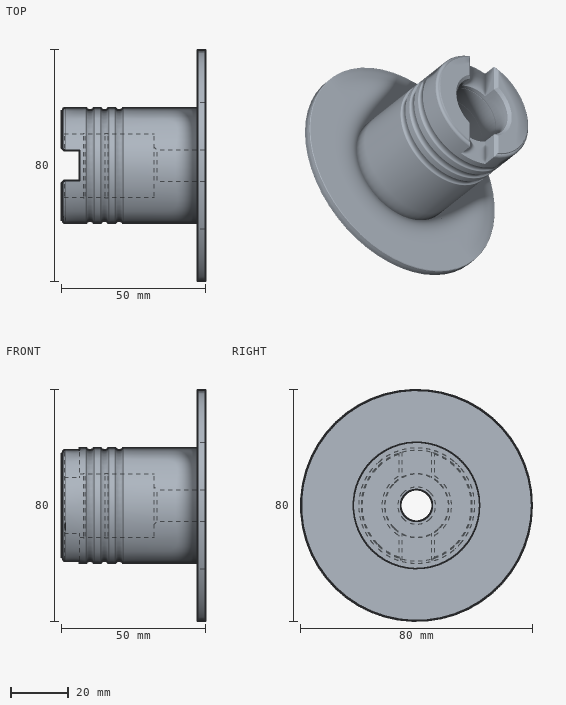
import cadquery as cq
import math

LENGTH = 50.0
FLANGE_RADIUS = 40.0
FLANGE_THICKNESS = 3.0
FLANGE_EDGE_CHAMFER = 0.2
FRONT_X = -LENGTH / 2
BACK_X = LENGTH / 2

BARREL_RADIUS = 20.0
FOOT_RADIUS = 21.8
NOSE_ROUND = 1.0
NOSE_TAPER_LENGTH = 0.5
NOSE_TAPER_RISE = 0.2

GROOVE_COUNT = 3
GROOVE_PITCH = 5.0
FIRST_GROOVE = 9.9
GROOVE_ARC_RADIUS = 1.5
GROOVE_DEPTH = 0.8
GROOVE_EDGE_ROUND = 0.2

BORE_RADIUS = 11.0
BORE_DEPTH = 32.0
EDGE_CHAMFER = 1.0
HOLE_RADIUS = 5.4

RELIEF_DEPTH = 0.2
FRONT_RELIEF_PLACE = 7.5
FRONT_RELIEF_WIDTH = 0.6
REAR_RELIEF_PLACE = 15.0
REAR_RELIEF_WIDTH = 1.0

SLOT_WIDTH = 10.3
SLOT_DEPTH = 6.2


def cylinder(radius, start, length):
    return cq.Workplane("YZ", origin=(start, 0, 0)).circle(radius).extrude(length)


def countersink(radius, start):
    """Cone that opens a hole of the given radius toward -X at the given place."""
    mouth_center = cq.Vector(start, 0, 0)
    cone = cq.Solid.makeCone(radius + EDGE_CHAMFER, radius, EDGE_CHAMFER, mouth_center, cq.Vector(1, 0, 0))
    return cq.Workplane(cone)


def sleeve_blank():
    shoulder_radius = BARREL_RADIUS - NOSE_ROUND
    shoulder_x = FRONT_X + NOSE_TAPER_LENGTH
    round_end_x = shoulder_x + NOSE_ROUND
    diagonal = NOSE_ROUND * math.sqrt(0.5)
    foot_x = BACK_X - FLANGE_THICKNESS
    outline = (
        cq.Workplane("XY")
        .moveTo(FRONT_X, 0)
        .lineTo(FRONT_X, shoulder_radius - NOSE_TAPER_RISE)
        .lineTo(shoulder_x, shoulder_radius)
        .threePointArc((round_end_x - diagonal, shoulder_radius + diagonal), (round_end_x, BARREL_RADIUS))
        .lineTo(foot_x, BARREL_RADIUS)
        .lineTo(foot_x, FOOT_RADIUS)
        .lineTo(BACK_X, FOOT_RADIUS)
        .lineTo(BACK_X, 0)
        .close()
    )
    return outline.revolve(360, (0, 0, 0), (1, 0, 0))


def grip_groove(center_x):
    """Ring with a round bottom whose mouth flares out to the barrel over small convex rounds."""
    arc_height = BARREL_RADIUS - GROOVE_DEPTH + GROOVE_ARC_RADIUS
    round_height = BARREL_RADIUS - GROOVE_EDGE_ROUND
    center_distance = GROOVE_ARC_RADIUS + GROOVE_EDGE_ROUND
    half_mouth = math.sqrt(center_distance**2 - (arc_height - round_height) ** 2)

    share = GROOVE_ARC_RADIUS / center_distance
    meet_offset = half_mouth * share
    meet_height = arc_height - (arc_height - round_height) * share

    lean = math.atan2(arc_height - round_height, half_mouth)
    middle_angle = (lean + math.pi / 2) / 2
    middle_offset = half_mouth - GROOVE_EDGE_ROUND * math.cos(middle_angle)
    middle_height = round_height + GROOVE_EDGE_ROUND * math.sin(middle_angle)

    return (
        cq.Workplane("XY")
        .moveTo(center_x - half_mouth, BARREL_RADIUS)
        .threePointArc((center_x - middle_offset, middle_height), (center_x - meet_offset, meet_height))
        .threePointArc((center_x, BARREL_RADIUS - GROOVE_DEPTH), (center_x + meet_offset, meet_height))
        .threePointArc((center_x + middle_offset, middle_height), (center_x + half_mouth, BARREL_RADIUS))
        .close()
        .revolve(360, (0, 0, 0), (1, 0, 0))
    )


def relief_groove(place, width):
    return cylinder(BORE_RADIUS + RELIEF_DEPTH, FRONT_X + place, width)


def bore():
    floor_x = FRONT_X + BORE_DEPTH
    cut = cylinder(BORE_RADIUS, FRONT_X, BORE_DEPTH)
    cut = cut.union(countersink(BORE_RADIUS, FRONT_X))
    cut = cut.union(cylinder(HOLE_RADIUS, floor_x, BACK_X - floor_x))
    cut = cut.union(countersink(HOLE_RADIUS, floor_x))
    cut = cut.union(relief_groove(FRONT_RELIEF_PLACE, FRONT_RELIEF_WIDTH))
    return cut.union(relief_groove(REAR_RELIEF_PLACE, REAR_RELIEF_WIDTH))


def nose_slot():
    half = SLOT_WIDTH / 2
    slot_floor = FRONT_X + SLOT_DEPTH
    return (
        cq.Workplane("XY")
        .moveTo(FRONT_X, -half - EDGE_CHAMFER)
        .lineTo(FRONT_X + EDGE_CHAMFER, -half)
        .lineTo(slot_floor, -half)
        .lineTo(slot_floor, half)
        .lineTo(FRONT_X + EDGE_CHAMFER, half)
        .lineTo(FRONT_X, half + EDGE_CHAMFER)
        .close()
        .extrude(BARREL_RADIUS, both=True)
    )


def make_sleeve():
    """Barrel with a wide foot at the back that fills the opening of the flange."""
    sleeve = sleeve_blank().cut(bore()).cut(nose_slot())
    for i in range(GROOVE_COUNT):
        sleeve = sleeve.cut(grip_groove(FRONT_X + FIRST_GROOVE + i * GROOVE_PITCH))
    return sleeve


def make_flange():
    """Thin ring around the foot of the sleeve."""
    flange_x = BACK_X - FLANGE_THICKNESS
    disc = cylinder(FLANGE_RADIUS, flange_x, FLANGE_THICKNESS)
    disc = disc.faces("<X or >X").edges().chamfer(FLANGE_EDGE_CHAMFER)
    return disc.cut(cylinder(FOOT_RADIUS, flange_x, FLANGE_THICKNESS))


sleeve = make_sleeve()
flange = make_flange()
result = cq.Compound.makeCompound([sleeve.val(), flange.val()])